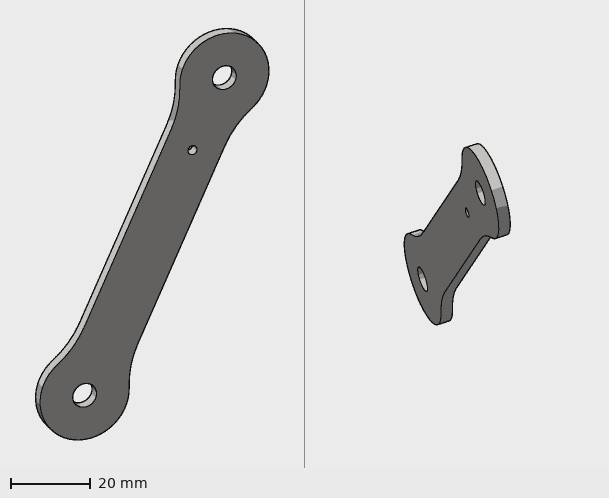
import cadquery as cq
import math

thickness = 3.1
pivot_rise = 80.7
pivot_offset = 37.7
end_radius = 12.0
arm_width = 16.0
blend_radius = 25.0
pivot_hole_diameter = 6.4
small_hole_diameter = 2.4
small_hole_distance = 20.3

pivot_spacing = math.hypot(pivot_rise, pivot_offset)
tilt_angle = math.degrees(math.atan2(pivot_offset, pivot_rise))
half_spacing = pivot_spacing / 2
half_width = arm_width / 2

blend_center_y = half_width + blend_radius
blend_reach = math.sqrt((end_radius + blend_radius) ** 2 - blend_center_y ** 2)
blend_center_z = half_spacing - blend_reach
disc_share = end_radius / (end_radius + blend_radius)
disc_tangent = (
    blend_center_y * disc_share,
    half_spacing - blend_reach * disc_share,
)

blend_sweep = math.asin(blend_reach / (end_radius + blend_radius))
blend_middle = (
    blend_center_y - blend_radius * math.cos(blend_sweep / 2),
    blend_center_z + blend_radius * math.sin(blend_sweep / 2),
)


def mirrored(point, side, end):
    """Reflect an upper-right outline point by the signs of side and end."""
    return (side * point[0], end * point[1])


def make_link():
    """Flat plate: two round ends joined by a narrower arm."""
    arm_corner = (half_width, blend_center_z)
    end_tip = (0, half_spacing + end_radius)
    outline = cq.Workplane("YZ").moveTo(*mirrored(arm_corner, 1, -1))
    for turn in (1, -1):
        outline = (
            outline.lineTo(*mirrored(arm_corner, turn, turn))
            .threePointArc(mirrored(blend_middle, turn, turn), mirrored(disc_tangent, turn, turn))
            .threePointArc(mirrored(end_tip, turn, turn), mirrored(disc_tangent, -turn, turn))
            .threePointArc(mirrored(blend_middle, -turn, turn), mirrored(arm_corner, -turn, turn))
        )
    return outline.close().extrude(thickness)


def make_hole(diameter, height):
    """Cutter for a through hole on the centerline of the link."""
    return cq.Workplane("YZ").center(0, height).circle(diameter / 2).extrude(thickness)


link = make_link()
for pivot_height in (-half_spacing, half_spacing):
    link = link.cut(make_hole(pivot_hole_diameter, pivot_height))
link = link.cut(make_hole(small_hole_diameter, half_spacing - small_hole_distance))

result = link.rotate((0, 0, 0), (1, 0, 0), -tilt_angle)